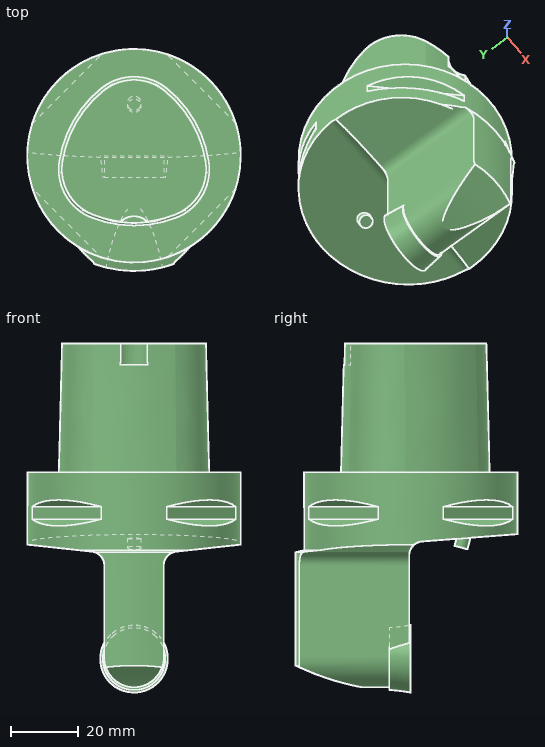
import cadquery as cq
import math


shank_length = 38.0
shank_inset = shank_length / 40
lobe_reach = 23.3
side_reach = 20.6
lobe_radius = 15.3

notch_depth = 6.4
notch_radius = 5.5
notch_floor_y = -17.85

flange_radius = 63.0 / 2
front_slope = math.radians(4.4)
roof_slope = math.radians(6.2)
front_corner_z = -20.75
ridge_z = -24.8
corner_fillet = 4.0

slot_count = 4
slot_floor_distance = 28.0
slot_floor_height = 3.6
slot_center_z = -12.0
slot_flare = math.radians(30)

blade_half_width = 8.8
blade_front_y = -0.4
blade_back_radius = 34.0
shoulder_top_z = -23.0
shoulder_edge_z = -23.6
nose_center_z = -54.6
blade_bottom_z = nose_center_z - blade_half_width
heel_start_y = -14.6
heel_middle = (-24.3, -60.9)
heel_end_z = -57.0

nozzle_diameter = 4.0
nozzle_tilt = 15.0
nozzle_tip = (0, 14.8, -22.25)
nozzle_length = 6.0

insert_radius = 10.0
insert_thickness = 6.35
insert_clearance = math.radians(7)
insert_center_z = -54.99


def polar(center, radius, angle):
    """Point at a radius and angle (degrees) from a center."""
    a = math.radians(angle)
    return (center[0] + radius * math.cos(a), center[1] + radius * math.sin(a))


def corner_blend(corner, angle_a, angle_b, radius):
    """Start, middle and end of a fillet arc between two lines leaving a corner at angles in radians."""
    half = (angle_b - angle_a) / 2
    setback = radius / math.tan(half)
    middle_reach = radius / math.sin(half) - radius

    def along(angle, distance):
        return (corner[0] + distance * math.cos(angle), corner[1] + distance * math.sin(angle))

    return along(angle_a, setback), along(angle_a + half, middle_reach), along(angle_b, setback)


def shank_outline(workplane, inset):
    """Closed outline of the shank, moved inwards by an inset."""
    lobe_offset = lobe_reach - lobe_radius
    gap = side_reach - lobe_offset / 2
    rise = lobe_offset * math.cos(math.radians(30))
    side_radius = (rise ** 2 + gap ** 2 - lobe_radius ** 2) / (2 * (gap - lobe_radius))
    side_offset = side_radius - side_reach
    side_half_angle = math.degrees(math.atan2(rise, side_offset + lobe_offset / 2))

    side_arc = side_radius - inset
    lobe_arc = lobe_radius - inset
    outline = workplane
    for i in range(3):
        side_angle = -90 + 120 * i
        lobe_angle = side_angle + 60
        side_center = polar((0, 0), side_offset, side_angle + 180)
        lobe_center = polar((0, 0), lobe_offset, lobe_angle)
        side_start = polar(side_center, side_arc, side_angle - side_half_angle)
        side_middle = polar(side_center, side_arc, side_angle)
        side_end = polar(side_center, side_arc, side_angle + side_half_angle)
        lobe_tip = polar(lobe_center, lobe_arc, lobe_angle)
        lobe_end_center = polar((0, 0), side_offset, side_angle + 300)
        lobe_end = polar(lobe_end_center, side_arc, side_angle + 120 - side_half_angle)
        if i == 0:
            outline = outline.moveTo(*side_start)
        outline = outline.threePointArc(side_middle, side_end).threePointArc(lobe_tip, lobe_end)
    return outline.close()


def make_shank():
    base = shank_outline(cq.Workplane("XY"), 0)
    shank = shank_outline(base.workplane(offset=shank_length), shank_inset).loft(ruled=True)
    notch = (
        cq.Workplane("XY", origin=(0, notch_floor_y - notch_radius, shank_length - notch_depth))
        .circle(notch_radius)
        .extrude(notch_depth)
    )
    return shank.cut(notch)


def make_side_profile():
    """Flange and blade outline in the YZ plane, extruded across the whole width."""
    corner = (blade_front_y, front_corner_z)
    front_edge_z = front_corner_z + (flange_radius - blade_front_y) * math.tan(front_slope)
    start, middle, end = corner_blend(corner, -math.pi / 2, front_slope, corner_fillet)
    return (
        cq.Workplane("YZ")
        .moveTo(-blade_back_radius, 0)
        .lineTo(flange_radius, 0)
        .lineTo(flange_radius, front_edge_z)
        .lineTo(*end)
        .threePointArc(middle, start)
        .lineTo(blade_front_y, blade_bottom_z)
        .lineTo(heel_start_y, blade_bottom_z)
        .threePointArc(heel_middle, (-blade_back_radius, heel_end_z))
        .close()
        .extrude(flange_radius, both=True)
    )


def make_front_profile():
    """Flange and blade outline in the XZ plane, extruded over the whole depth."""
    rim_z = ridge_z + flange_radius * math.tan(roof_slope)
    corner = (blade_half_width, ridge_z + blade_half_width * math.tan(roof_slope))
    start, middle, end = corner_blend(corner, -math.pi / 2, roof_slope, corner_fillet)

    def mirrored(point):
        return (-point[0], point[1])

    return (
        cq.Workplane("XZ")
        .moveTo(-flange_radius, 0)
        .lineTo(flange_radius, 0)
        .lineTo(flange_radius, rim_z)
        .lineTo(*end)
        .threePointArc(middle, start)
        .lineTo(blade_half_width, nose_center_z)
        .threePointArc((0, blade_bottom_z), (-blade_half_width, nose_center_z))
        .lineTo(*mirrored(start))
        .threePointArc(mirrored(middle), mirrored(end))
        .lineTo(-flange_radius, rim_z)
        .close()
        .extrude(blade_back_radius, both=True)
    )


def make_round_envelope():
    """Flange cylinder, conical shoulder and larger blade back cylinder around Z."""
    return (
        cq.Workplane("XZ")
        .polyline([
            (0, 0),
            (flange_radius, 0),
            (flange_radius, shoulder_top_z),
            (blade_back_radius, shoulder_edge_z),
            (blade_back_radius, blade_bottom_z),
            (0, blade_bottom_z),
        ])
        .close()
        .revolve(360, (0, 0, 0), (0, 1, 0))
    )


def make_gripper_slot(angle):
    """Cutter for one slot, facing outwards at an angle (degrees) around Z."""
    depth = flange_radius - slot_floor_distance
    floor_half = slot_floor_height / 2
    mouth_half = floor_half + depth * math.tan(slot_flare)
    return (
        cq.Workplane("XZ")
        .polyline([
            (slot_floor_distance, slot_center_z - floor_half),
            (flange_radius, slot_center_z - mouth_half),
            (flange_radius, slot_center_z + mouth_half),
            (slot_floor_distance, slot_center_z + floor_half),
        ])
        .close()
        .extrude(flange_radius, both=True)
        .rotate((0, 0, 0), (0, 0, 1), angle)
    )


def make_nozzle():
    return (
        cq.Workplane("XY")
        .circle(nozzle_diameter / 2)
        .extrude(nozzle_length)
        .rotate((0, 0, 0), (1, 0, 0), -nozzle_tilt)
        .translate(nozzle_tip)
    )


def make_insert():
    back_radius = insert_radius - insert_thickness * math.tan(insert_clearance)
    return (
        cq.Workplane("XZ", origin=(0, 0, insert_center_z))
        .circle(insert_radius)
        .workplane(offset=insert_thickness)
        .circle(back_radius)
        .loft(ruled=True)
    )


def make_holder(insert):
    body = make_side_profile().intersect(make_front_profile()).intersect(make_round_envelope())
    for i in range(slot_count):
        body = body.cut(make_gripper_slot(45 + i * 360 / slot_count))
    return body.union(make_shank()).union(make_nozzle()).cut(insert)


insert = make_insert()
holder = make_holder(insert)

result = cq.Compound.makeCompound([holder.solids().val(), insert.val()])